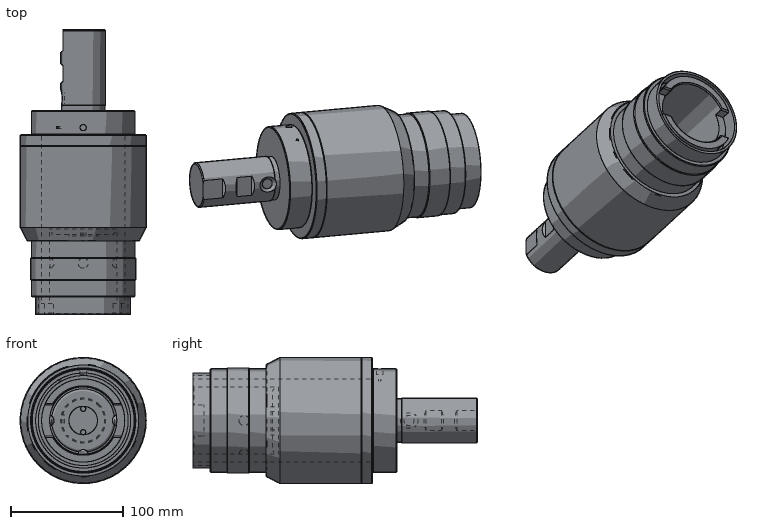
import cadquery as cq
import math

overall_length = 254.0

nose_end = 15.5
ring_front = 31.0
ring_back = 49.8
cone_front = 65.3
cone_back = 77.7
housing_groove_y = 150.4
collar_front = 160.3
collar_back = 181.9
undercut_end = 186.2

housing_diameter = 112.5
housing_radius = housing_diameter / 2
cone_small_radius = 50.3
neck_radius = 46.2
ring_radius = 47.0
nose_radius = 42.5
edge_chamfer = 0.8
ring_chamfer = ring_radius - neck_radius
housing_groove_depth = 0.38
mouth_radius = 40.1
mouth_depth = nose_end

spindle_radius = 37.0
spindle_bore_radius = 30.0
spindle_bore_depth = 76.2
slot_width = 28.0
slot_depth = 10.0
slot_chamfer = 1.3
bore_chamfer = 1.0
detent_radius = 4.5
detent_center_radius = 30.5
detent_y = 45.7
detent_angles = (0, 180, 270)
seat_radius = 28.2
seat_height = 5.0
seat_rounding = 2.3
bolt_radius = 12.7
bolt_height = 1.3
key_hole_radius = 2.3
key_hole_offset = bolt_radius - key_hole_radius
key_hole_depth = 2.5

shank_radius = 20.0
shank_chamfer = 1.0
undercut_radius = 19.5
flat_depth = 2.0
end_flat_length = 18.5
middle_flat_back = 221.7
middle_flat_front = 208.0
dimple_y = 192.8
dimple_mouth_radius = 8.1
dimple_floor_radius = 4.5
dimple_depth = dimple_mouth_radius - dimple_floor_radius
collar_hole_y = 166.5
collar_hole_radius = 2.8
small_hole_radius = 1.0
small_hole_angle = 120.0
collar_hole_depth = 5.0


def revolve_outline(points):
    """Solid of revolution about Y from (radius, y) points."""
    return cq.Workplane("XY").polyline(points).close().revolve(360, (0, 0, 0), (0, 1, 0))


def rod(radius, y_start, y_stop, z=0.0):
    """Round rod parallel to Y."""
    start = cq.Vector(0, y_start, z)
    return cq.Workplane(cq.Solid.makeCylinder(radius, y_stop - y_start, start, cq.Vector(0, 1, 0)))


def make_housing():
    """Outer sleeve: stepped nose, cone and large cylinder around a through bore."""
    return revolve_outline([
        (mouth_radius, 0),
        (nose_radius, 0),
        (nose_radius, nose_end),
        (neck_radius - edge_chamfer, nose_end),
        (neck_radius, nose_end + edge_chamfer),
        (neck_radius, ring_front - ring_chamfer),
        (ring_radius, ring_front),
        (ring_radius, ring_back),
        (neck_radius, ring_back + ring_chamfer),
        (neck_radius, cone_front),
        (cone_small_radius - edge_chamfer, cone_front),
        (cone_small_radius, cone_front + edge_chamfer),
        (housing_radius, cone_back),
        (housing_radius, housing_groove_y - housing_groove_depth),
        (housing_radius - housing_groove_depth, housing_groove_y),
        (housing_radius, housing_groove_y + housing_groove_depth),
        (housing_radius, collar_front - edge_chamfer),
        (housing_radius - edge_chamfer, collar_front),
        (spindle_radius, collar_front),
        (spindle_radius, mouth_depth),
        (mouth_radius, mouth_depth),
    ])


def make_drive_slot():
    """Cutter for the cross slot in the spindle mouth, with chamfered mouth edges."""
    half_width = slot_width / 2
    points = [
        (slot_depth, -half_width),
        (slot_chamfer, -half_width),
        (0, -half_width - slot_chamfer),
        (0, half_width + slot_chamfer),
        (slot_chamfer, half_width),
        (slot_depth, half_width),
    ]
    return cq.Workplane("YZ").polyline(points).close().extrude(spindle_radius, both=True)


def make_detent(angle):
    """Ball part-way into the spindle wall, whose tip stands into the bore."""
    x = detent_center_radius * math.cos(math.radians(angle))
    z = detent_center_radius * math.sin(math.radians(angle))
    return cq.Workplane("XY").sphere(detent_radius).translate((x, detent_y, z))


def make_spindle():
    """Inner tube with a slotted mouth, three detents and a raised seat at the bore floor."""
    seat_face = spindle_bore_depth - seat_height
    bolt_face = seat_face - bolt_height
    spindle = revolve_outline([
        (0, spindle_bore_depth),
        (spindle_bore_radius, spindle_bore_depth),
        (spindle_bore_radius, bore_chamfer),
        (spindle_bore_radius + bore_chamfer, 0),
        (spindle_radius, 0),
        (spindle_radius, collar_front),
        (0, collar_front),
    ])
    seat = rod(seat_radius, seat_face, spindle_bore_depth).faces("<Y").edges().fillet(seat_rounding)
    spindle = spindle.union(seat).union(rod(bolt_radius, bolt_face, seat_face))
    spindle = spindle.cut(make_drive_slot())
    for angle in detent_angles:
        spindle = spindle.union(make_detent(angle))
    for side in (-1, 1):
        z = side * key_hole_offset
        spindle = spindle.cut(rod(key_hole_radius, bolt_face, bolt_face + key_hole_depth, z=z))
    return spindle


def make_shank_flat(y_front, y_back):
    """Cutter for a flat on the -X side of the shank, with 45 degree ends."""
    points = [
        (-shank_radius, y_front - flat_depth),
        (flat_depth - shank_radius, y_front),
        (flat_depth - shank_radius, y_back),
        (-shank_radius, y_back + flat_depth),
    ]
    return cq.Workplane("XY").polyline(points).close().extrude(shank_radius, both=True)


def make_dimple():
    """Cutter for the conical dimple on the -X side of the shank."""
    cone = cq.Solid.makeCone(
        dimple_mouth_radius, dimple_floor_radius, dimple_depth,
        cq.Vector(-shank_radius, dimple_y, 0), cq.Vector(1, 0, 0),
    )
    return cq.Workplane(cone)


def make_collar_hole(radius, angle):
    """Cutter for a blind radial hole in the collar, at an angle from +X towards +Z."""
    outward = cq.Vector(math.cos(math.radians(angle)), 0, math.sin(math.radians(angle)))
    start = outward * (neck_radius - collar_hole_depth) + cq.Vector(0, collar_hole_y, 0)
    return cq.Workplane(cq.Solid.makeCylinder(radius, 2 * collar_hole_depth, start, outward))


def make_shank():
    """Clamping shank with its collar, which rests on the back of the housing."""
    shoulder = shank_radius - undercut_radius
    shank = revolve_outline([
        (0, collar_front),
        (neck_radius - edge_chamfer, collar_front),
        (neck_radius, collar_front + edge_chamfer),
        (neck_radius, collar_back - edge_chamfer),
        (neck_radius - edge_chamfer, collar_back),
        (undercut_radius, collar_back),
        (undercut_radius, undercut_end),
        (shank_radius, undercut_end + shoulder),
        (shank_radius, overall_length - shank_chamfer),
        (shank_radius - shank_chamfer, overall_length),
        (0, overall_length),
    ])
    shank = shank.cut(make_shank_flat(overall_length - end_flat_length, overall_length))
    shank = shank.cut(make_shank_flat(middle_flat_front, middle_flat_back))
    shank = shank.cut(make_dimple())
    shank = shank.cut(make_collar_hole(collar_hole_radius, 90))
    return shank.cut(make_collar_hole(small_hole_radius, small_hole_angle))


housing = make_housing()
spindle = make_spindle()
shank = make_shank()

result = cq.Compound.makeCompound([housing.solids().val(), spindle.solids().val(), shank.solids().val()])